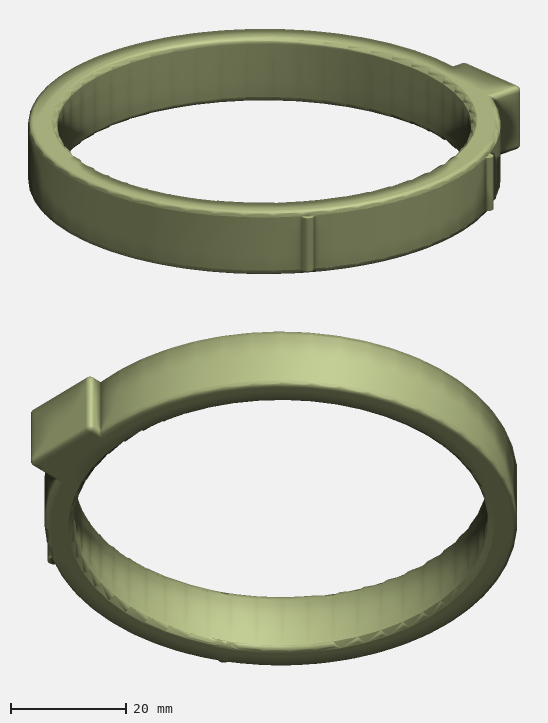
import cadquery as cq
import math

outer_radius = 41.1
inner_radius = 36.0
height = 12.0
edge_round = 1.0

tab_turn = 26.0
tab_left = 3.3
tab_right = 18.5
tab_reach = 43.55
tab_root = inner_radius

panel_start = -5.0
panel_end = 55.0
panel_bottom = edge_round
panel_height = height - 2 * edge_round
rib_radius = 1.05


def polar_point(radius, angle):
    """Point in the XY plane at an angle in degrees from +X."""
    return radius * math.cos(math.radians(angle)), radius * math.sin(math.radians(angle))


def make_tab():
    """Tab block with rounded outer corners, starting inside the ring wall."""
    return (
        cq.Workplane("XY")
        .center((tab_left + tab_right) / 2, (tab_root + tab_reach) / 2)
        .rect(tab_right - tab_left, tab_reach - tab_root)
        .extrude(height)
        .edges("|Z and >Y")
        .fillet(edge_round)
        .rotate((0, 0, 0), (0, 0, 1), tab_turn)
    )


def make_panel():
    """Wall sector between the rounded edges, carrying both ribs."""
    middle = (panel_start + panel_end) / 2
    sector = (
        cq.Workplane("XY", origin=(0, 0, panel_bottom))
        .moveTo(*polar_point(inner_radius, panel_start))
        .lineTo(*polar_point(outer_radius, panel_start))
        .threePointArc(polar_point(outer_radius, middle), polar_point(outer_radius, panel_end))
        .lineTo(*polar_point(inner_radius, panel_end))
        .threePointArc(polar_point(inner_radius, middle), polar_point(inner_radius, panel_start))
        .close()
        .extrude(panel_height)
    )
    ribs = (
        cq.Workplane("XY", origin=(0, 0, panel_bottom))
        .pushPoints([polar_point(outer_radius, angle) for angle in (panel_start, panel_end)])
        .circle(rib_radius)
        .extrude(panel_height)
    )
    return sector.union(ribs)


def make_ring(panel):
    """Ring and tab with rounded rims and a window that matches the panel."""
    blank = cq.Workplane("XY").circle(outer_radius).extrude(height).union(make_tab())
    bored = blank.cut(cq.Workplane("XY").circle(inner_radius).extrude(height))
    rounded = bored.faces("<Z or >Z").edges().fillet(edge_round)
    return rounded.cut(panel)


panel = make_panel()
ring = make_ring(panel)

result = cq.Compound.makeCompound([ring.val(), panel.val()])